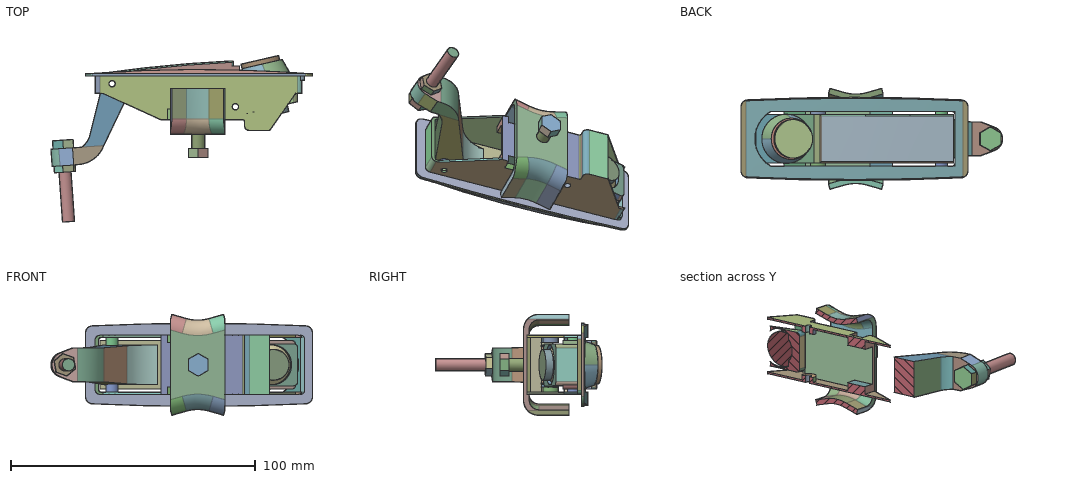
import cadquery as cq
import math


FLANGE_LEFT, FLANGE_RIGHT = -46.2, 46.8
FLANGE_MIDDLE = (FLANGE_LEFT + FLANGE_RIGHT) / 2
FLANGE_THICK = 1.1
FLANGE_HALF_END = 15.8
FLANGE_HALF_MIDDLE = 17.0
FLANGE_CORNER_R = 3.0
CROWN_HEIGHT = 2.7
CROWN_HALF_LENGTH = 44.3
CROWN_INSET = 0.4
WINDOW_LEFT = -40.7
WINDOW_ARC_START = 34.5
WINDOW_RIGHT = 41.0

BOX_LEFT, BOX_RIGHT = -42.2, 42.7
BOX_HALF_WIDTH = 12.1
BOX_CORNER_R = 2.0
WALL = 1.0
INNER_HALF_WIDTH = BOX_HALF_WIDTH - WALL
END_WALL_DEPTH = 7.1
WEB_LEFT = -15.3
WEB_STEP_X = 18.8
WEB_RIGHT = 29.2
WEB_DEPTH = 17.9
WEB_STEP_DEPTH = 22.3
WEB_THICK = 1.5
WEB_STEP_R = 2.1
WEB_CORNER_R = 0.6
SLOPE_LEFT, SLOPE_RIGHT = -39.0, 39.8
LIP_DEPTH = 1.7
LIP_CORNER_R = 1.6
LIP_LEFT, LIP_RIGHT = 41.8, 43.5
NOTCH_LEFT = -12.6
NOTCH_LENGTH = 6.6
NOTCH_DEPTH = 4.4
NOTCH_HALF_WIDTH = 9.1
TAB_HALF_WIDTH = 7.9
TAB_HEIGHT = 6.2

PIN_HOLE_D = 2.5
ARM_PIVOT = (-35.2, -3.1)
ARM_BOSS_D = 5.0
WALL_PIVOT = (15.2, -12.5)
WALL_BOSS_D = 6.2
WALL_BOSS_LENGTH = 2.0

PADDLE_LEFT, PADDLE_RIGHT = -40.3, 14.5
PADDLE_HALF_WIDTH = 10.0
PADDLE_EDGE = 1.1
PADDLE_HEIGHT = 6.3
PADDLE_MID = (-7.9, 4.8)
PADDLE_ROUND = 0.6
LEDGE_RIGHT, LEDGE_HEIGHT = 16.9, 4.2
TUB_LEFT, TUB_RIGHT = 10.7, 39.8
TUB_DEPTH = 7.6
LOWER_TUB_LEFT, LOWER_TUB_RIGHT = 19.3, 40.7
LOWER_TUB_HALF_WIDTH = 8.6
LOWER_TUB_DEPTH = 10.5
TUB_CORNER_R = 1.7
TURRET_X = 28.2
TURRET_BASE_R = 10.1
TURRET_TOP_R = 8.5
TURRET_TOP = (26.1, 4.9)
LOCK_TILT = 13.0
LOCK_HEAD_R = 7.9
LOCK_HEAD_SHIFT = -0.5
LOCK_HEAD_THICK = 1.9
LOCK_BARREL_R = 6.3
LOCK_BARREL_LENGTH = 21.4
RECESS_R = 8.1
RECESS_DEPTH = 2.1

SCREW_TILT = 4.0
SCREW_SEAT = (-55.1, -29.6)
ARM_THICK = 7.1
ARM_TAPER = 0.042
ARM_TOP_LEFT, ARM_TOP_RIGHT = -38.3, -16.7
ARM_HEEL_MID, ARM_HEEL_END = (-24.2, -3.0), (-29.1, -8.7)
ARM_INNER_BEND_MID, ARM_INNER_BEND_END = (-45.7, -27.1), (-44.5, -25.0)
ARM_OUTER_BEND_MID = (-42.9, -34.0)
ARM_INNER_BEND_START = 7.5
ARM_OUTER_BEND_START = 16.6
ARM_OUTER_BEND_END = 5.4
ARM_SHOULDER_LENGTH = 3.7
ARM_END_HALF_WIDTH = 7.0
ARM_TIP_R = 5.1
SCREW_D = 5.0
SCREW_LENGTH = 30.1
SCREW_HEAD_ACROSS = 9.9
SCREW_HEAD_HEIGHT = 3.4
NUT_ACROSS = 9.3
NUT_HEIGHT = 2.7
NUT_TURN = 40.0

BRACKET_X = -0.2
BRACKET_HALF_LENGTH = 11.1
BRACKET_THICK = 2.4
BRACKET_TOP, BRACKET_BOTTOM = -5.0, -23.8
BRACKET_BEND_R = 6.3
SADDLE_HALF_HEIGHT = 18.3
SADDLE_ARC_R = 16.7
SADDLE_ANGLE = 16.0
SADDLE_WING = 6.2
BOLT_D = 5.4
BOLT_HEAD_ACROSS = 9.3
BOLT_HEAD_TOP, BOLT_HEAD_BOTTOM = -29.6, -33.3

FAR = 64.2


def prism(outline, half_width):
    """Extrude an XY outline symmetrically about Z = 0."""
    return outline.extrude(half_width, both=True)


def block(x_range, y_range, z_range):
    """Box from its X, Y and Z ranges."""
    size = [high - low for low, high in (x_range, y_range, z_range)]
    corner = (x_range[0], y_range[0], z_range[0])
    return cq.Workplane("XY").box(*size, centered=False).translate(corner)


def cross_cylinder(center, diameter, half_length):
    """Cylinder along Z through the latch."""
    return prism(cq.Workplane("XY").center(*center).circle(diameter / 2), half_length)


def tilted_plane(point, degrees):
    """Plane through an XY point whose normal is +Y turned about Z by the given angle."""
    turn = math.radians(degrees)
    return cq.Plane(
        origin=(point[0], point[1], 0),
        xDir=(math.cos(turn), math.sin(turn), 0),
        normal=(-math.sin(turn), math.cos(turn), 0),
    )


def flange_outline(inset):
    """Flange outline with bowed long sides, from Y = 0 to the top of the crown."""
    left, right = FLANGE_LEFT + inset, FLANGE_RIGHT - inset
    end, middle = FLANGE_HALF_END - inset, FLANGE_HALF_MIDDLE - inset
    return (
        cq.Workplane("XZ")
        .moveTo(left, -end)
        .threePointArc((FLANGE_MIDDLE, -middle), (right, -end))
        .lineTo(right, end)
        .threePointArc((FLANGE_MIDDLE, middle), (left, end))
        .close()
        .extrude(-CROWN_HEIGHT)
        .edges("|Y")
        .fillet(FLANGE_CORNER_R - inset)
    )


def make_flange():
    rim = flange_outline(0).intersect(block((-FAR, FAR), (0, FLANGE_THICK), (-FAR, FAR)))
    crown_profile = (
        cq.Workplane("XY")
        .moveTo(FLANGE_MIDDLE - CROWN_HALF_LENGTH, FLANGE_THICK)
        .threePointArc((FLANGE_MIDDLE, CROWN_HEIGHT), (FLANGE_MIDDLE + CROWN_HALF_LENGTH, FLANGE_THICK))
        .close()
    )
    crown = flange_outline(CROWN_INSET).intersect(prism(crown_profile, FAR))
    window = (
        cq.Workplane("XZ")
        .moveTo(WINDOW_LEFT, -INNER_HALF_WIDTH)
        .lineTo(WINDOW_ARC_START, -INNER_HALF_WIDTH)
        .threePointArc((WINDOW_RIGHT, 0), (WINDOW_ARC_START, INNER_HALF_WIDTH))
        .lineTo(WINDOW_LEFT, INNER_HALF_WIDTH)
        .close()
        .extrude(-CROWN_HEIGHT)
    )
    return rim.union(crown).cut(window)


def rounded_column(left, right, half_width, depth, radius):
    """Column below Y = 0 with rounded corners."""
    return block((left, right), (-depth, 0), (-half_width, half_width)).edges("|Y").fillet(radius)


def draw_stepped_bottom(outline):
    """Continue an XY outline along the outside of the web, from left to right."""
    return (
        outline
        .lineTo(WEB_LEFT, -WEB_DEPTH)
        .lineTo(WEB_STEP_X - WEB_CORNER_R, -WEB_DEPTH)
        .radiusArc((WEB_STEP_X, -WEB_DEPTH - WEB_CORNER_R), WEB_CORNER_R)
        .lineTo(WEB_STEP_X, WEB_STEP_R - WEB_STEP_DEPTH)
        .radiusArc((WEB_STEP_X + WEB_STEP_R, -WEB_STEP_DEPTH), -WEB_STEP_R)
        .lineTo(WEB_RIGHT, -WEB_STEP_DEPTH)
    )


def make_walls():
    """Side walls and left end wall; the right end is open apart from a shallow lip."""
    outer = rounded_column(BOX_LEFT, BOX_RIGHT, BOX_HALF_WIDTH, WEB_STEP_DEPTH, BOX_CORNER_R)
    inner = rounded_column(
        WINDOW_LEFT, BOX_RIGHT - WALL, INNER_HALF_WIDTH, WEB_STEP_DEPTH, BOX_CORNER_R - WALL
    )
    open_end = block((WEB_RIGHT, FAR), (-WEB_STEP_DEPTH, 0), (-INNER_HALF_WIDTH, INNER_HALF_WIDTH))
    lip = block((LIP_LEFT, LIP_RIGHT), (-LIP_DEPTH, 0), (-BOX_HALF_WIDTH, BOX_HALF_WIDTH))
    lip = lip.edges("|Y and >X").fillet(LIP_CORNER_R)
    upper_left = cq.Workplane("XY").moveTo(-FAR, 0).lineTo(-FAR, -END_WALL_DEPTH)
    side_profile = (
        draw_stepped_bottom(upper_left.lineTo(SLOPE_LEFT, -END_WALL_DEPTH))
        .lineTo(SLOPE_RIGHT, -END_WALL_DEPTH)
        .lineTo(FAR, -END_WALL_DEPTH)
        .lineTo(FAR, 0)
        .close()
    )
    return outer.cut(inner).cut(open_end).intersect(prism(side_profile, FAR)).union(lip)


def make_web():
    """Stepped bottom sheet between the side walls."""
    inner_step_x = WEB_STEP_X + WEB_THICK
    inner_left = cq.Workplane("XY").moveTo(WEB_LEFT, WEB_THICK - WEB_DEPTH)
    profile = (
        draw_stepped_bottom(inner_left)
        .lineTo(WEB_RIGHT, WEB_THICK - WEB_STEP_DEPTH)
        .lineTo(inner_step_x, WEB_THICK - WEB_STEP_DEPTH)
        .lineTo(inner_step_x, WEB_THICK - WEB_DEPTH)
        .close()
    )
    return prism(profile, BOX_HALF_WIDTH)


def make_housing():
    housing = make_flange().union(make_walls()).union(make_web())
    for side in (-1, 1):
        tab_z = sorted((side * TAB_HALF_WIDTH, side * (INNER_HALF_WIDTH + WALL / 2)))
        tab = block((WEB_LEFT, NOTCH_LEFT + NOTCH_LENGTH), (-WEB_DEPTH, TAB_HEIGHT - WEB_DEPTH), tab_z)
        boss_z = sorted((side * (INNER_HALF_WIDTH - WALL_BOSS_LENGTH), side * (INNER_HALF_WIDTH + WALL / 2)))
        boss = (
            cq.Workplane("XY", origin=(*WALL_PIVOT, boss_z[0]))
            .circle(WALL_BOSS_D / 2)
            .extrude(boss_z[1] - boss_z[0])
        )
        notch = block(
            (NOTCH_LEFT, NOTCH_LEFT + NOTCH_LENGTH),
            (-WEB_DEPTH, NOTCH_DEPTH - WEB_DEPTH),
            sorted((side * NOTCH_HALF_WIDTH, side * BOX_HALF_WIDTH)),
        )
        housing = housing.union(tab).union(boss).cut(notch)
    for pivot in (ARM_PIVOT, WALL_PIVOT):
        housing = housing.cut(cross_cylinder(pivot, PIN_HOLE_D, FAR))
    return housing


LOCK_PLANE = tilted_plane(TURRET_TOP, LOCK_TILT)


def make_paddle():
    """Wedge with rounded upper edges and a low ledge at its thick end."""
    profile = (
        cq.Workplane("XY")
        .moveTo(PADDLE_LEFT, 0)
        .lineTo(PADDLE_LEFT, PADDLE_EDGE)
        .threePointArc(PADDLE_MID, (PADDLE_RIGHT, PADDLE_HEIGHT))
        .lineTo(PADDLE_RIGHT, 0)
        .close()
    )
    above_left_edge = cq.selectors.BoxSelector((-FAR, PADDLE_EDGE + PADDLE_ROUND, -FAR), (FAR, FAR, FAR))
    wedge = prism(profile, PADDLE_HALF_WIDTH).edges(above_left_edge).fillet(PADDLE_ROUND)
    ledge = block(
        (TUB_LEFT, LEDGE_RIGHT), (0, LEDGE_HEIGHT), (-PADDLE_HALF_WIDTH, PADDLE_HALF_WIDTH)
    )
    return wedge.union(ledge)


def make_turret():
    """Ruled skirt from a level base circle to the tilted lock face."""
    base_circle = cq.Wire.makeCircle(TURRET_BASE_R, cq.Vector(TURRET_X, 0, 0), cq.Vector(0, 1, 0))
    top_circle = cq.Wire.makeCircle(TURRET_TOP_R, LOCK_PLANE.origin, LOCK_PLANE.zDir)
    return cq.Workplane(cq.Solid.makeLoft([base_circle, top_circle], True))


def make_lower_tub():
    """Narrow lower part of the tub, with its floor square to the lock."""
    run = LOWER_TUB_RIGHT - LOWER_TUB_LEFT
    deep_end = LOWER_TUB_DEPTH + run * math.tan(math.radians(LOCK_TILT))
    profile = (
        cq.Workplane("XY")
        .moveTo(LOWER_TUB_LEFT, 0)
        .lineTo(LOWER_TUB_LEFT, -deep_end)
        .lineTo(LOWER_TUB_RIGHT, -LOWER_TUB_DEPTH)
        .lineTo(LOWER_TUB_RIGHT, 0)
        .close()
    )
    return prism(profile, LOWER_TUB_HALF_WIDTH).edges("|Y").fillet(TUB_CORNER_R)


def tub_floor_distance():
    """Distance along the lock axis from the turret top to the tub floor."""
    turn = math.radians(LOCK_TILT)
    corner_x = LOWER_TUB_RIGHT - TURRET_TOP[0]
    corner_y = -LOWER_TUB_DEPTH - TURRET_TOP[1]
    return corner_x * math.sin(turn) - corner_y * math.cos(turn)


def make_handle():
    tub = rounded_column(TUB_LEFT, TUB_RIGHT, PADDLE_HALF_WIDTH, TUB_DEPTH, TUB_CORNER_R)
    handle = make_paddle().union(tub).union(make_lower_tub()).union(make_turret())
    tub_floor = cq.Workplane(LOCK_PLANE).workplane(offset=-tub_floor_distance())
    recess = tub_floor.circle(RECESS_R).extrude(RECESS_DEPTH)
    bore = cq.Workplane(LOCK_PLANE).circle(LOCK_BARREL_R).extrude(-LOCK_BARREL_LENGTH)
    return handle.cut(recess).cut(bore)


def make_lock():
    """Round head, barrel through the handle, and a conical collar in the recess of the tub floor."""
    head = cq.Workplane(LOCK_PLANE).center(LOCK_HEAD_SHIFT, 0).circle(LOCK_HEAD_R).extrude(LOCK_HEAD_THICK)
    barrel = cq.Workplane(LOCK_PLANE).circle(LOCK_BARREL_R).extrude(-LOCK_BARREL_LENGTH)
    collar = (
        cq.Workplane(LOCK_PLANE)
        .workplane(offset=-tub_floor_distance())
        .circle(LOCK_BARREL_R)
        .workplane(offset=RECESS_DEPTH)
        .circle(RECESS_R)
        .loft(ruled=True)
    )
    return head.union(barrel).union(collar)


SCREW_PLANE = tilted_plane(SCREW_SEAT, SCREW_TILT)


def arm_point(along, below):
    """XY point given along the arm's flat end and below its top face."""
    point = SCREW_PLANE.toWorldCoords((along, 0, -below))
    return point.x, point.y


def make_arm_tip():
    """Plan shape of the flat end: straight sides that taper to a round tip."""
    angle = math.acos(ARM_TIP_R / math.hypot(ARM_SHOULDER_LENGTH, ARM_END_HALF_WIDTH))
    angle += math.atan2(ARM_END_HALF_WIDTH, ARM_SHOULDER_LENGTH)
    tangent = (ARM_TIP_R * math.cos(angle), ARM_TIP_R * math.sin(angle))
    return (
        cq.Workplane(SCREW_PLANE)
        .moveTo(FAR, -FAR)
        .lineTo(ARM_SHOULDER_LENGTH, -FAR)
        .lineTo(ARM_SHOULDER_LENGTH, -ARM_END_HALF_WIDTH)
        .lineTo(tangent[0], -tangent[1])
        .threePointArc((-ARM_TIP_R, 0), tangent)
        .lineTo(ARM_SHOULDER_LENGTH, ARM_END_HALF_WIDTH)
        .lineTo(ARM_SHOULDER_LENGTH, FAR)
        .lineTo(FAR, FAR)
        .close()
        .extrude(FAR, both=True)
    )


def make_arm_width():
    """Width of the arm: constant at the flat end, widening above its top face."""
    top_half_width = ARM_END_HALF_WIDTH + ARM_TAPER * FAR
    across = cq.Plane(origin=SCREW_PLANE.origin, xDir=(0, 0, -1), normal=SCREW_PLANE.xDir)
    return (
        cq.Workplane(across)
        .polyline(
            [
                (-ARM_END_HALF_WIDTH, -FAR),
                (ARM_END_HALF_WIDTH, -FAR),
                (ARM_END_HALF_WIDTH, 0),
                (top_half_width, FAR),
                (-top_half_width, FAR),
                (-ARM_END_HALF_WIDTH, 0),
            ]
        )
        .close()
        .extrude(FAR, both=True)
    )


def make_arm():
    side_profile = (
        cq.Workplane("XY")
        .moveTo(*arm_point(-ARM_TIP_R, 0))
        .lineTo(*arm_point(ARM_INNER_BEND_START, 0))
        .threePointArc(ARM_INNER_BEND_MID, ARM_INNER_BEND_END)
        .lineTo(ARM_TOP_LEFT, 0)
        .lineTo(ARM_TOP_RIGHT, 0)
        .threePointArc(ARM_HEEL_MID, ARM_HEEL_END)
        .lineTo(*arm_point(ARM_OUTER_BEND_START, 0))
        .threePointArc(ARM_OUTER_BEND_MID, arm_point(ARM_OUTER_BEND_END, ARM_THICK))
        .lineTo(*arm_point(-ARM_TIP_R, ARM_THICK))
        .close()
    )
    arm = prism(side_profile, FAR).intersect(make_arm_width()).intersect(make_arm_tip())
    arm = arm.union(cross_cylinder(ARM_PIVOT, ARM_BOSS_D, INNER_HALF_WIDTH))
    arm = arm.cut(cross_cylinder(ARM_PIVOT, PIN_HOLE_D, FAR))
    return arm.cut(cq.Workplane(SCREW_PLANE).circle(SCREW_D / 2).extrude(-SCREW_LENGTH))


def make_screw():
    head = (
        cq.Workplane(SCREW_PLANE)
        .transformed(rotate=(0, 0, 90))
        .polygon(6, SCREW_HEAD_ACROSS)
        .extrude(SCREW_HEAD_HEIGHT)
    )
    return head.union(cq.Workplane(SCREW_PLANE).circle(SCREW_D / 2).extrude(-SCREW_LENGTH))


def make_nut():
    return (
        cq.Workplane(SCREW_PLANE)
        .workplane(offset=-ARM_THICK)
        .transformed(rotate=(0, 0, -NUT_TURN))
        .polygon(6, NUT_ACROSS)
        .circle(SCREW_D / 2)
        .extrude(-NUT_HEIGHT)
    )


def saddle_corners(half_height, arc_radius):
    """End of the arc and end of the straight wing, on the +X side of a saddle curve."""
    turn = math.radians(SADDLE_ANGLE)
    arc_x = arc_radius * math.sin(turn)
    arc_z = half_height + arc_radius * (1 - math.cos(turn))
    wing_end = (arc_x + SADDLE_WING * math.cos(turn), arc_z + SADDLE_WING * math.sin(turn))
    return (arc_x, arc_z), wing_end


def draw_saddle(start, half_height, arc_radius):
    """Saddle curve in XZ: wing, arc and wing, from -X to +X."""
    (arc_x, arc_z), (end_x, end_z) = saddle_corners(half_height, arc_radius)
    return (
        start.moveTo(-end_x, end_z)
        .lineTo(-arc_x, arc_z)
        .threePointArc((0, half_height), (arc_x, arc_z))
        .lineTo(end_x, end_z)
    )


def make_saddle():
    """Upper flange of the bracket with its bend, swept along the saddle curve."""
    path = draw_saddle(cq.Workplane("XZ"), SADDLE_HALF_HEIGHT, SADDLE_ARC_R)
    turn = math.radians(SADDLE_ANGLE)
    end_x, end_z = saddle_corners(SADDLE_HALF_HEIGHT, SADDLE_ARC_R)[1]
    section_plane = cq.Plane(
        origin=(-end_x, 0, end_z), xDir=(0, 1, 0), normal=(math.cos(turn), 0, -math.sin(turn))
    )
    bend_start = BRACKET_BOTTOM + BRACKET_BEND_R
    section = (
        cq.Workplane(section_plane)
        .moveTo(BRACKET_TOP, 0)
        .lineTo(bend_start, 0)
        .radiusArc((BRACKET_BOTTOM, -BRACKET_BEND_R), -BRACKET_BEND_R)
        .lineTo(BRACKET_BOTTOM + BRACKET_THICK, -BRACKET_BEND_R)
        .radiusArc((bend_start, -BRACKET_THICK), BRACKET_BEND_R - BRACKET_THICK)
        .lineTo(BRACKET_TOP, -BRACKET_THICK)
        .close()
    )
    return section.sweep(path)


def make_bracket_web():
    """Flat back of the bracket, bounded by the inner ends of the two bends."""
    half_height = SADDLE_HALF_HEIGHT - BRACKET_BEND_R
    arc_radius = SADDLE_ARC_R + BRACKET_BEND_R
    (arc_x, arc_z), (end_x, end_z) = saddle_corners(half_height, arc_radius)
    start = cq.Workplane("XZ", origin=(0, BRACKET_BOTTOM, 0))
    return (
        draw_saddle(start, half_height, arc_radius)
        .lineTo(end_x, -end_z)
        .lineTo(arc_x, -arc_z)
        .threePointArc((0, -half_height), (-arc_x, -arc_z))
        .lineTo(-end_x, -end_z)
        .close()
        .extrude(-BRACKET_THICK)
    )


def make_bracket():
    bracket = make_bracket_web().union(make_saddle()).union(make_saddle().mirror("XY"))
    length = (-BRACKET_HALF_LENGTH, BRACKET_HALF_LENGTH)
    bracket = bracket.intersect(block(length, (-FAR, 0), (-FAR, FAR)))
    bolt_hole = cq.Workplane("XZ").circle(BOLT_D / 2).extrude(FAR)
    return bracket.translate((BRACKET_X, 0, 0)).cut(bolt_hole)


def make_bolt():
    """Hexagon bolt through the bracket, with its tip against the housing web."""
    head = (
        cq.Workplane("XZ", origin=(0, BOLT_HEAD_TOP, 0))
        .transformed(rotate=(0, 0, 90))
        .polygon(6, BOLT_HEAD_ACROSS)
        .extrude(BOLT_HEAD_TOP - BOLT_HEAD_BOTTOM)
    )
    shank = (
        cq.Workplane("XZ", origin=(0, -WEB_DEPTH, 0))
        .circle(BOLT_D / 2)
        .extrude(-WEB_DEPTH - BOLT_HEAD_TOP)
    )
    return head.union(shank)


housing = make_housing()
handle = make_handle()
lock = make_lock()
arm = make_arm()
screw = make_screw()
nut = make_nut()
bracket = make_bracket()
bolt = make_bolt()

result = cq.Compound.makeCompound(
    [
        housing.val(),
        handle.val(),
        lock.val(),
        arm.val(),
        screw.val(),
        nut.val(),
        bracket.val(),
        bolt.val(),
    ]
)